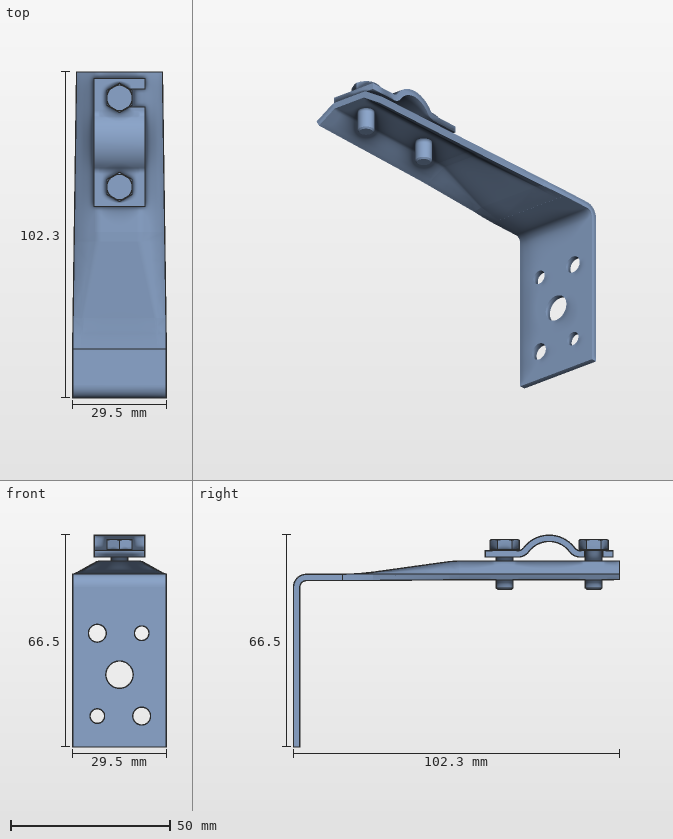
import cadquery as cq
import math

length = 102.3
width = 29.5
sheet = 2.0

shelf_z = 54.2
corner_radius = 4.1
back_width = 27.0

ridge_height = 4.2
ridge_bend_radius = 3.9
ramp_start_y = 15.4
slope_start_y = 25.1
slope_end_y = 49.0
ridge_start_y = 52.1
fade_height = 0.02
ridge_half_at_fade = 12.1
ridge_half_at_slope_start = 11.0
ridge_half_at_full_height = 5.7
ridge_half_at_back = 5.5

leg_hole_z = 22.7
centre_hole_diameter = 8.5
large_hole_diameter = 5.5
small_hole_diameter = 4.5
hole_offset_x = 7.0
hole_offset_z = 13.0

clamp_y = 80.2
clamp_length = 40.1
clamp_width = 16.0
clamp_top_z = 66.5
clamp_foot_z = 61.6
arch_radius = 10.0
foot_bend_radius = 2.3
slot_width = 5.7

bolt_spacing = 27.9
shank_diameter = 5.3
head_across_flats = 8.0
head_height = 3.6
bearing_height = 0.4
bearing_diameter = 7.7
head_chamfer_angle = 30.0
tip_z = 49.4
tip_chamfer = 0.5

bolt_back_y = clamp_y + bolt_spacing / 2
bolt_front_y = clamp_y - bolt_spacing / 2


def edge_half_width(y):
    """Half distance between the upper side edges, tapering from the shelf to the back end."""
    taper = (width - back_width) / 2 / (length - ramp_start_y)
    return width / 2 - taper * (y - ramp_start_y)


def channel_section(y, rise, ridge_half):
    """Closed outline of the bent sheet at y: flat ridge, two bends and two sloping side flanges."""
    edge_x = edge_half_width(y)
    bend_z = shelf_z + rise - ridge_bend_radius
    across = edge_x - ridge_half
    up = shelf_z - bend_z
    angle = math.atan2(across, up) - math.acos(ridge_bend_radius / math.hypot(across, up))

    def on_bend(radius, turn):
        return (ridge_half + radius * math.sin(turn), bend_z + radius * math.cos(turn))

    def mirrored(point):
        return (-point[0], point[1])

    inner_radius = ridge_bend_radius - sheet
    outer_edge = (edge_x, shelf_z)
    inner_edge = (edge_x - sheet * math.sin(angle), shelf_z - sheet * math.cos(angle))
    outer_start, outer_mid, outer_end = [on_bend(ridge_bend_radius, angle * t) for t in (0, 0.5, 1)]
    inner_start, inner_mid, inner_end = [on_bend(inner_radius, angle * t) for t in (0, 0.5, 1)]
    outline = (
        cq.Workplane("XZ", origin=(0, y, 0))
        .moveTo(*mirrored(outer_start))
        .lineTo(*outer_start)
        .threePointArc(outer_mid, outer_end)
        .lineTo(*outer_edge)
        .lineTo(*inner_edge)
        .lineTo(*inner_end)
        .threePointArc(inner_mid, inner_start)
        .lineTo(*mirrored(inner_start))
        .threePointArc(mirrored(inner_mid), mirrored(inner_end))
        .lineTo(*mirrored(inner_edge))
        .lineTo(*mirrored(outer_edge))
        .lineTo(*mirrored(outer_end))
        .threePointArc(mirrored(outer_mid), mirrored(outer_start))
        .close()
    )
    return outline.val()


def make_channel():
    """Level ridge, upper bend, straight slope and lower bend that fades into the shelf."""
    lower_run = slope_start_y - ramp_start_y
    slope_run = slope_end_y - slope_start_y
    upper_run = ridge_start_y - slope_end_y
    gradient = ridge_height / (lower_run / 2 + slope_run + upper_run / 2)
    slope_start_rise = gradient * lower_run / 2
    slope_end_rise = ridge_height - gradient * upper_run / 2

    fade = channel_section(ramp_start_y, fade_height, ridge_half_at_fade)
    lower_middle = channel_section(
        (ramp_start_y + slope_start_y) / 2,
        slope_start_rise / 4,
        (ridge_half_at_fade + ridge_half_at_slope_start) / 2,
    )
    slope_start = channel_section(slope_start_y, slope_start_rise, ridge_half_at_slope_start)
    slope_end = channel_section(slope_end_y, slope_end_rise, ridge_half_at_full_height)
    ridge_start = channel_section(ridge_start_y, ridge_height, ridge_half_at_full_height)
    back = channel_section(length, ridge_height, ridge_half_at_back)

    lower_bend = cq.Solid.makeLoft([fade, lower_middle, slope_start])
    slope = cq.Solid.makeLoft([slope_start, slope_end], True)
    upper_bend = cq.Solid.makeLoft([slope_end, ridge_start], True)
    ridge = cq.Solid.makeLoft([ridge_start, back], True)
    return [lower_bend, slope, upper_bend, ridge]


def make_leg_and_shelf():
    """L-shaped strip with a rounded corner, as wide as the bracket."""
    inner_radius = corner_radius - sheet
    return (
        cq.Workplane("YZ")
        .lineTo(0, shelf_z - corner_radius)
        .radiusArc((corner_radius, shelf_z), corner_radius)
        .lineTo(ramp_start_y, shelf_z)
        .lineTo(ramp_start_y, shelf_z - sheet)
        .lineTo(corner_radius, shelf_z - sheet)
        .radiusArc((sheet, shelf_z - corner_radius), -inner_radius)
        .lineTo(sheet, 0)
        .close()
        .extrude(width / 2, both=True)
    )


def leg_holes(diameter, positions):
    """Cutters through the leg at (x, z) positions."""
    return (
        cq.Workplane("XZ")
        .pushPoints(positions)
        .circle(diameter / 2)
        .extrude(-sheet)
    )


def make_bracket():
    bracket = make_leg_and_shelf()
    for stretch in make_channel():
        bracket = bracket.union(cq.Workplane(stretch))

    low_z = leg_hole_z - hole_offset_z
    high_z = leg_hole_z + hole_offset_z
    bracket = bracket.cut(leg_holes(centre_hole_diameter, [(0, leg_hole_z)]))
    bracket = bracket.cut(leg_holes(large_hole_diameter, [(-hole_offset_x, high_z), (hole_offset_x, low_z)]))
    bracket = bracket.cut(leg_holes(small_hole_diameter, [(hole_offset_x, high_z), (-hole_offset_x, low_z)]))

    bolt_holes = (
        cq.Workplane("XY", origin=(0, 0, shelf_z))
        .pushPoints([(0, bolt_front_y), (0, bolt_back_y)])
        .circle(shank_diameter / 2)
        .extrude(ridge_height)
    )
    return bracket.cut(bolt_holes).solids()


def make_clamp():
    """Strap with an arch between two flat feet; the back foot has a slot open to +X."""
    arch_z = clamp_top_z - arch_radius
    bend_z = clamp_foot_z + foot_bend_radius
    reach = arch_radius + foot_bend_radius
    angle = math.acos((bend_z - arch_z) / reach)
    bend_y = reach * math.sin(angle)
    half_length = clamp_length / 2
    inner_radius = arch_radius - sheet
    under_radius = foot_bend_radius + sheet

    def on_arch(radius, turn):
        return (radius * math.sin(turn), arch_z + radius * math.cos(turn))

    foot_bottom_z = clamp_foot_z - sheet
    strap = (
        cq.Workplane("YZ", origin=(0, clamp_y, 0))
        .moveTo(-half_length, clamp_foot_z)
        .lineTo(-bend_y, clamp_foot_z)
        .radiusArc(on_arch(arch_radius, -angle), -foot_bend_radius)
        .radiusArc(on_arch(arch_radius, angle), arch_radius)
        .radiusArc((bend_y, clamp_foot_z), -foot_bend_radius)
        .lineTo(half_length, clamp_foot_z)
        .lineTo(half_length, foot_bottom_z)
        .lineTo(bend_y, foot_bottom_z)
        .radiusArc(on_arch(inner_radius, angle), under_radius)
        .radiusArc(on_arch(inner_radius, -angle), -inner_radius)
        .radiusArc((-bend_y, foot_bottom_z), under_radius)
        .lineTo(-half_length, foot_bottom_z)
        .close()
        .extrude(clamp_width / 2, both=True)
    )

    foot = cq.Workplane("XY", origin=(0, 0, foot_bottom_z))
    bolt_holes = (
        foot.pushPoints([(0, bolt_front_y), (0, bolt_back_y)])
        .circle(slot_width / 2)
        .extrude(sheet)
    )
    slot = (
        foot.center(clamp_width / 4, bolt_back_y)
        .rect(clamp_width / 2, slot_width)
        .extrude(sheet)
    )
    return strap.cut(bolt_holes).cut(slot).solids()


def make_bolt(y):
    """Hexagon bolt whose head rests on the clamp foot, with two corners along Y."""
    head_radius = head_across_flats / math.sqrt(3)
    flat_radius = head_across_flats / 2
    chamfer_height = (head_radius - flat_radius) * math.tan(math.radians(head_chamfer_angle))
    head_top_z = clamp_foot_z + head_height
    hexagon_z = clamp_foot_z + bearing_height

    hexagon = (
        cq.Workplane("XY", origin=(0, 0, hexagon_z))
        .transformed(rotate=(0, 0, 90))
        .polygon(6, 2 * head_radius)
        .extrude(head_top_z - hexagon_z)
    )
    head_blank = (
        cq.Workplane("XZ")
        .moveTo(0, hexagon_z)
        .lineTo(-head_radius, hexagon_z)
        .lineTo(-head_radius, head_top_z - chamfer_height)
        .lineTo(-flat_radius, head_top_z)
        .lineTo(0, head_top_z)
        .close()
        .revolve(360, (0, 0), (0, 1))
    )
    shank_radius = shank_diameter / 2
    shank_and_bearing = (
        cq.Workplane("XZ")
        .moveTo(0, tip_z)
        .lineTo(tip_chamfer - shank_radius, tip_z)
        .lineTo(-shank_radius, tip_z + tip_chamfer)
        .lineTo(-shank_radius, clamp_foot_z)
        .lineTo(-bearing_diameter / 2, clamp_foot_z)
        .lineTo(-bearing_diameter / 2, hexagon_z)
        .lineTo(0, hexagon_z)
        .close()
        .revolve(360, (0, 0), (0, 1))
    )
    bolt = hexagon.intersect(head_blank).union(shank_and_bearing)
    return bolt.translate((0, y, 0)).solids()


bracket = make_bracket()
clamp = make_clamp()
bolts = [make_bolt(y) for y in (bolt_front_y, bolt_back_y)]

result = cq.Compound.makeCompound([bracket.val(), clamp.val(), *[bolt.val() for bolt in bolts]])